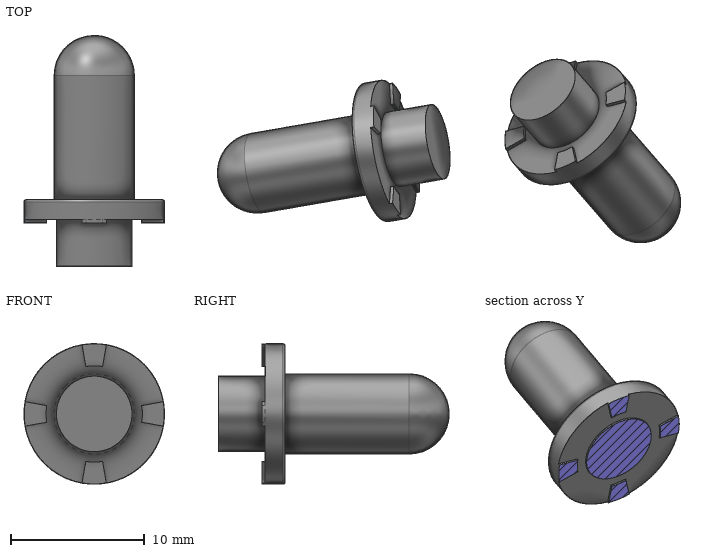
import cadquery as cq
import math

pin_diameter = 6.0
pin_length = 12.25
flange_diameter = 10.5
flange_thickness = 1.5
flange_edge_radius = 0.2
tail_diameter = 5.65
tail_length = 3.5

tooth_count = 4
tooth_height = 0.25
tooth_inner_radius = 3.6
tooth_angle = 20.0
cutter_overrun = 1.0

pin_radius = pin_diameter / 2
flange_radius = flange_diameter / 2
tail_radius = tail_diameter / 2
pin_tip_y = flange_thickness + pin_length
dome_start_y = pin_tip_y - pin_radius
cutter_radius = flange_radius + cutter_overrun
tooth_half_angle = math.radians(tooth_angle / 2)


def make_flanged_pin():
    """Flange and round-nosed pin turned about Y; the flange includes the tooth height."""
    diagonal = pin_radius * math.sqrt(0.5)
    profile = (
        cq.Workplane("XY")
        .moveTo(0, -tooth_height)
        .lineTo(flange_radius, -tooth_height)
        .lineTo(flange_radius, flange_thickness - flange_edge_radius)
        .tangentArcPoint((-flange_edge_radius, flange_edge_radius))
        .lineTo(pin_radius, flange_thickness)
        .lineTo(pin_radius, dome_start_y)
        .threePointArc((diagonal, dome_start_y + diagonal), (0, pin_tip_y))
        .close()
    )
    return profile.revolve(360, (0, 0, 0), (0, 1, 0))


def make_tooth(center_angle):
    """Wedge with an arc-shaped inner end, reaching past the flange rim."""
    inner_x = tooth_inner_radius * math.cos(tooth_half_angle)
    inner_z = tooth_inner_radius * math.sin(tooth_half_angle)
    outer_x = cutter_radius
    outer_z = cutter_radius * math.tan(tooth_half_angle)
    wedge = (
        cq.Workplane("XZ")
        .moveTo(inner_x, -inner_z)
        .lineTo(outer_x, -outer_z)
        .lineTo(outer_x, outer_z)
        .lineTo(inner_x, inner_z)
        .threePointArc((tooth_inner_radius, 0), (inner_x, -inner_z))
        .close()
        .extrude(tooth_height)
    )
    return wedge.rotate((0, 0, 0), (0, 1, 0), center_angle)


def make_recess():
    """Material removed from the flange front, leaving only the teeth standing."""
    recess = cq.Workplane("XZ").circle(cutter_radius).extrude(tooth_height)
    for index in range(tooth_count):
        recess = recess.cut(make_tooth(index * 360 / tooth_count))
    return recess


def make_tail():
    """Plain cylinder from the flange front face toward -Y."""
    return cq.Workplane("XZ").circle(tail_radius).extrude(tail_length)


result = make_flanged_pin().cut(make_recess()).union(make_tail())